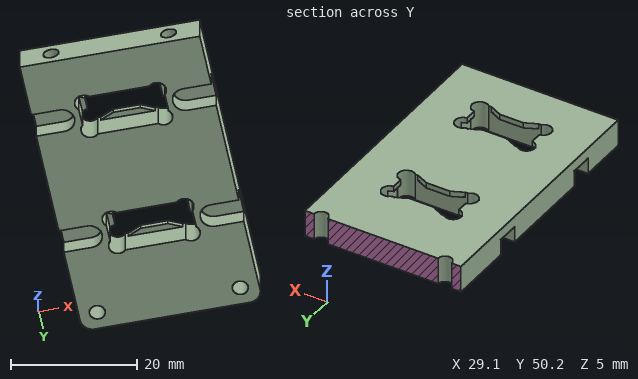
import cadquery as cq
import math

width = 29.1
length = 50.2
thickness = 5.0
corner_radius = 2.0

corner_hole_diameter = 2.5
corner_hole_inset = 3.0

window_centres_y = (8.05, -14.0)
window_half_width = 6.94
window_half_height = 3.53
lobe_radius = 1.45
lobe_offset_x = 5.92
lobe_offset_y = 2.52

lip_thickness = 1.0
lip_root_half_width = 4.4
lip_tip_half_width = 2.2
lip_tip_offset_y = 2.5
end_lip_offset_x = 6.07

slot_width = 4.06
slot_height = 3.0
slot_depth = 6.6

end_hole_diameter = 2.46
end_hole_offset_x = 9.5
end_hole_height = thickness / 2
drill_point_angle = 118.0
breakthrough_radius = 0.45


def make_plate():
    plate = cq.Workplane("XY").box(width, length, thickness, centered=(True, True, False))
    plate = plate.edges("|Z and >Y").fillet(corner_radius)
    hole_x = width / 2 - corner_hole_inset
    hole_y = length / 2 - corner_hole_inset
    holes = (
        cq.Workplane("XY")
        .pushPoints([(-hole_x, hole_y), (hole_x, hole_y)])
        .circle(corner_hole_diameter / 2)
        .extrude(thickness)
    )
    return plate.cut(holes)


def make_long_wall_lip(side):
    """Tapered lip on the +Y (side = 1) or -Y (side = -1) wall of a window centred on the origin."""
    root_y = side * window_half_height
    tip_y = side * lip_tip_offset_y
    return (
        cq.Workplane("XY", origin=(0, 0, thickness - lip_thickness))
        .moveTo(-lip_root_half_width, root_y)
        .lineTo(-lip_tip_half_width, tip_y)
        .lineTo(lip_tip_half_width, tip_y)
        .lineTo(lip_root_half_width, root_y)
        .close()
        .extrude(lip_thickness)
    )


def make_short_wall_lip(side):
    """Straight lip on the +X (side = 1) or -X (side = -1) wall of a window centred on the origin."""
    lip_width = window_half_width - end_lip_offset_x
    lip_centre_x = side * (window_half_width + end_lip_offset_x) / 2
    return (
        cq.Workplane("XY", origin=(lip_centre_x, 0, thickness - lip_thickness))
        .rect(lip_width, 2 * window_half_height)
        .extrude(lip_thickness)
    )


def make_window():
    """Window opening centred on the origin, with the lips left standing."""
    opening = (
        cq.Workplane("XY")
        .rect(2 * window_half_width, 2 * window_half_height)
        .extrude(thickness)
    )
    lobes = (
        cq.Workplane("XY")
        .rect(2 * lobe_offset_x, 2 * lobe_offset_y, forConstruction=True)
        .vertices()
        .circle(lobe_radius)
        .extrude(thickness)
    )
    for side in (-1, 1):
        opening = opening.cut(make_long_wall_lip(side)).cut(make_short_wall_lip(side))
    return opening.union(lobes)


def make_slot(side, centre_y):
    """Slot entering from the +X (side = 1) or -X (side = -1) face."""
    edge_x = side * width / 2
    arc_start_x = side * (width / 2 - slot_depth + slot_width / 2)
    tip_x = side * (width / 2 - slot_depth)
    low_y = centre_y - slot_width / 2
    high_y = centre_y + slot_width / 2
    return (
        cq.Workplane("XY")
        .moveTo(edge_x, low_y)
        .lineTo(arc_start_x, low_y)
        .threePointArc((tip_x, centre_y), (arc_start_x, high_y))
        .lineTo(edge_x, high_y)
        .close()
        .extrude(slot_height)
    )


def make_end_hole(centre_x):
    """Drilled hole with a conical bottom whose point breaks into the slot wall."""
    radius = end_hole_diameter / 2
    point_slope = math.tan(math.radians(drill_point_angle / 2))
    entry_y = -length / 2
    slot_wall_y = min(window_centres_y) - slot_width / 2
    point_y = slot_wall_y + breakthrough_radius / point_slope
    shoulder_y = point_y - radius / point_slope
    return (
        cq.Workplane("XY", origin=(centre_x, 0, end_hole_height))
        .moveTo(0, entry_y)
        .lineTo(radius, entry_y)
        .lineTo(radius, shoulder_y)
        .lineTo(0, point_y)
        .close()
        .revolve(360, (0, 0, 0), (0, 1, 0))
    )


result = make_plate()
for centre_y in window_centres_y:
    result = result.cut(make_window().translate((0, centre_y, 0)))
    for side in (-1, 1):
        result = result.cut(make_slot(side, centre_y))
for side in (-1, 1):
    result = result.cut(make_end_hole(side * end_hole_offset_x))